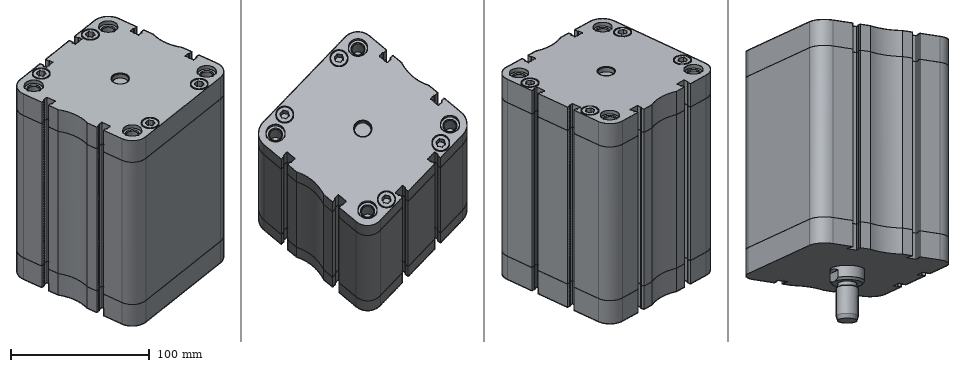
import cadquery as cq
import math


total_height = 205.0
body_width = 113.5
corner_radius = 12.3
cap_height = 19.5
rod_reach = 38.0
body_height = total_height - rod_reach
barrel_height = body_height - 2 * cap_height
half_width = body_width / 2

slot_mouth = 6.2
slot_inner_width = 7.5
slot_lip = 3.0
side_slot_depth = 7.0
side_slot_offset = 24.8
left_slot_depth = 6.2
left_slot_offset = 17.5

flute_half_width = 13.1
flute_depth = 2.7
flute_radius = (flute_half_width**2 + flute_depth**2) / (2 * flute_depth)

mount_hole_offset = 44.5
mount_counterbore_diameter = 13.7
mount_counterbore_depth = 3.0
thread_diameter = 10.0
thread_core_diameter = 8.6

screw_x = 49.2
screw_y = 29.3
screw_recess_diameter = 13.0
screw_head_diameter = 12.0
screw_gap_depth = 0.8
hex_across_flats = 6.0
hex_depth = 6.2

centre_hole_diameter = 12.0
centre_hole_mouth = 13.1
centre_hole_depth = 4.0

rod_diameter = 25.0
collar_reach = 10.2
collar_chamfer = 1.5
collar_chamfer_height = 1.8
flat_distance = 22.0
flat_start = 1.5
neck_diameter = 14.0
neck_height = 2.9
stud_diameter = 16.0
stud_chamfer = 1.0
stud_chamfer_height = 3.3
stud_shoulder_height = 0.6

bottom_cap_base = rod_reach
barrel_base = bottom_cap_base + cap_height
top_cap_base = barrel_base + barrel_height


def slot_cutter(height, depth):
    """T-slot opening towards -Y, starting at the XZ plane, with its base at Z = 0."""
    mouth = cq.Workplane("XY").box(slot_mouth, 2 * depth, height, centered=(True, True, False))
    chamber_depth = depth - slot_lip
    chamber = (
        cq.Workplane("XY")
        .box(slot_inner_width, chamber_depth, height, centered=(True, False, False))
        .translate((0, slot_lip, 0))
    )
    return mouth.union(chamber)


def profile_block(base, height):
    """Square block with the slots and flutes shared by the barrel and the caps."""
    block = (
        cq.Workplane("XY")
        .box(body_width, body_width, height, centered=(True, True, False))
        .edges("|Z")
        .fillet(corner_radius)
    )
    side_slot = slot_cutter(height, side_slot_depth)
    flute_centre = half_width - flute_depth + flute_radius
    flute = cq.Workplane("XY").center(0, -flute_centre).circle(flute_radius).extrude(height)
    for turn in (0, 180):
        for x in (-side_slot_offset, side_slot_offset):
            placed_slot = side_slot.translate((x, -half_width, 0))
            block = block.cut(placed_slot.rotate((0, 0, 0), (0, 0, 1), turn))
        block = block.cut(flute.rotate((0, 0, 0), (0, 0, 1), turn))

    left_slot = slot_cutter(height, left_slot_depth).rotate((0, 0, 0), (0, 0, 1), -90)
    for y in (-left_slot_offset, left_slot_offset):
        block = block.cut(left_slot.translate((-half_width, y, 0)))
    return block.translate((0, 0, base))


def cut_mount_holes(cap):
    """Counterbored corner holes through the cap, countersunk to the thread diameter."""
    countersink_depth = (thread_diameter - thread_core_diameter) / 2
    cap = (
        cap.faces(">Z")
        .workplane(origin=(0, 0, total_height))
        .rect(2 * mount_hole_offset, 2 * mount_hole_offset, forConstruction=True)
        .vertices()
        .cboreHole(thread_core_diameter, mount_counterbore_diameter, mount_counterbore_depth)
    )
    countersink = cq.Solid.makeCone(
        thread_core_diameter / 2, thread_diameter / 2, countersink_depth
    )
    countersink_base = total_height - mount_counterbore_depth - countersink_depth
    for x in (-mount_hole_offset, mount_hole_offset):
        for y in (-mount_hole_offset, mount_hole_offset):
            cap = cap.cut(cq.Workplane(countersink.translate(cq.Vector(x, y, countersink_base))))
    return cap


def cut_screw_heads(cap):
    """Ring gap and hexagon socket of each flush cap screw."""
    hex_diameter = hex_across_flats / math.cos(math.pi / 6)
    screw_points = [(x, y) for x in (-screw_x, screw_x) for y in (-screw_y, screw_y)]
    face = cq.Workplane("XY", origin=(0, 0, total_height))
    gaps = (
        face.pushPoints(screw_points)
        .circle(screw_recess_diameter / 2)
        .circle(screw_head_diameter / 2)
        .extrude(-screw_gap_depth)
    )
    socket = (
        face.polygon(6, hex_diameter).extrude(-hex_depth).rotate((0, 0, 0), (0, 0, 1), 90)
    )
    cap = cap.cut(gaps)
    for x, y in screw_points:
        cap = cap.cut(socket.translate((x, y, 0)))
    return cap


def cut_centre_hole(cap):
    """Blind centring hole with a chamfered mouth."""
    mouth_chamfer = (centre_hole_mouth - centre_hole_diameter) / 2
    face = cq.Workplane("XY", origin=(0, 0, total_height))
    hole = face.circle(centre_hole_diameter / 2).extrude(-centre_hole_depth)
    mouth = cq.Solid.makeCone(centre_hole_diameter / 2, centre_hole_mouth / 2, mouth_chamfer)
    mouth_base = total_height - mouth_chamfer
    return cap.cut(hole).cut(cq.Workplane(mouth.translate(cq.Vector(0, 0, mouth_base))))


def make_top_cap():
    cap = profile_block(top_cap_base, cap_height)
    cap = cut_mount_holes(cap)
    cap = cut_screw_heads(cap)
    return cut_centre_hole(cap)


def make_barrel():
    return profile_block(barrel_base, barrel_height)


def make_bottom_cap():
    cap = profile_block(bottom_cap_base, cap_height)
    bore = (
        cq.Workplane("XY", origin=(0, 0, bottom_cap_base))
        .circle(rod_diameter / 2)
        .extrude(cap_height)
    )
    return cap.cut(bore)


def cut_wrench_flats(rod):
    """Two opposite flats on the collar, each starting with a 45 degree ramp."""
    flat_x = flat_distance / 2
    outer_x = rod_diameter / 2
    ramp_top = bottom_cap_base - flat_start
    ramp_base = ramp_top - (outer_x - flat_x)
    collar_base = bottom_cap_base - collar_reach
    flat = (
        cq.Workplane("XZ")
        .moveTo(flat_x, collar_base)
        .lineTo(outer_x, collar_base)
        .lineTo(outer_x, ramp_top)
        .lineTo(flat_x, ramp_base)
        .close()
        .extrude(outer_x, both=True)
    )
    return rod.cut(flat).cut(flat.mirror("YZ"))


def make_piston_rod():
    """Rod through the bottom cap, with a collar, a neck and a threaded stud, as one turned part."""
    collar_base = bottom_cap_base - collar_reach
    neck_base = collar_base - neck_height
    rod_radius = rod_diameter / 2
    neck_radius = neck_diameter / 2
    stud_radius = stud_diameter / 2
    rod = (
        cq.Workplane("XZ")
        .moveTo(0, 0)
        .lineTo(stud_radius - stud_chamfer, 0)
        .lineTo(stud_radius, stud_chamfer_height)
        .lineTo(stud_radius, neck_base - stud_shoulder_height)
        .lineTo(neck_radius, neck_base)
        .lineTo(neck_radius, collar_base)
        .lineTo(rod_radius - collar_chamfer, collar_base)
        .lineTo(rod_radius, collar_base + collar_chamfer_height)
        .lineTo(rod_radius, barrel_base)
        .lineTo(0, barrel_base)
        .close()
        .revolve(360, (0, 0, 0), (0, 1, 0))
    )
    return cut_wrench_flats(rod)


top_cap = make_top_cap()
barrel = make_barrel()
bottom_cap = make_bottom_cap()
piston_rod = make_piston_rod()

result = cq.Compound.makeCompound(
    [top_cap.val(), barrel.val(), bottom_cap.val(), piston_rod.val()]
)